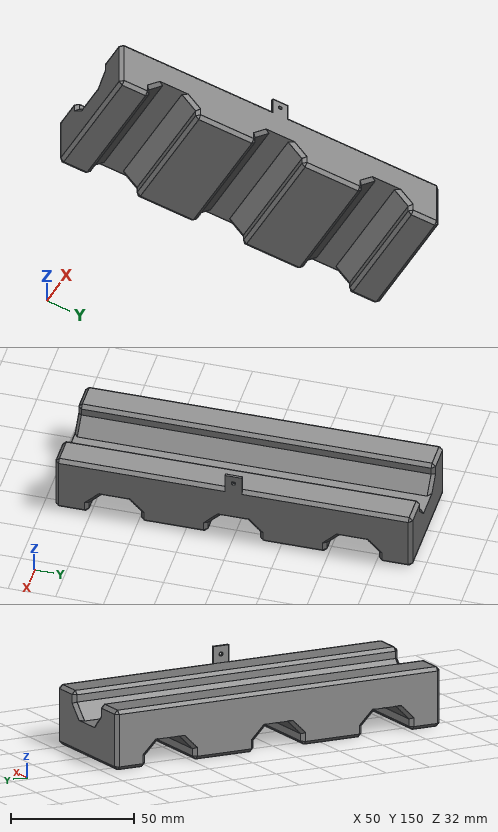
import cadquery as cq
import math

block_length = 150.0
module_count = 3
module = block_length / module_count
block_width = module
block_height = module / 2
edge_chamfer = 1.5

groove_width = 22.0
groove_depth = groove_width / 2
octagon_side_ratio = math.tan(math.pi / 8)

overall_height = 32.0
tab_width = 7.0
tab_thickness = 1.0
tab_hole_diameter = 1.6
tab_rise = overall_height - block_height


def groove_section(widening):
    """Points of the groove section, opening at height zero, moved outward by the widening.

    The floor keeps its depth, so a widened section only gains at walls and flanks.
    """
    half_width = groove_width / 2 + widening
    wall_depth = half_width * octagon_side_ratio
    floor_half_width = half_width + wall_depth - groove_depth
    right_side = [
        (half_width + edge_chamfer, 0),
        (half_width, -edge_chamfer),
        (half_width, -wall_depth),
        (floor_half_width, -groove_depth),
    ]
    left_side = [(-x, z) for x, z in reversed(right_side)]
    return right_side + left_side


def groove_cutter(length):
    """Groove along Y, centred on the origin, with chamfered ends."""
    straight_length = length - 2 * edge_chamfer
    straight = (
        cq.Workplane("XZ")
        .polyline(groove_section(0))
        .close()
        .extrude(straight_length / 2, both=True)
    )
    front_flare = (
        cq.Workplane("XZ")
        .workplane(offset=straight_length / 2)
        .polyline(groove_section(0))
        .close()
        .workplane(offset=edge_chamfer)
        .polyline(groove_section(edge_chamfer))
        .close()
        .loft(ruled=True)
    )
    return straight.union(front_flare).union(front_flare.mirror("XZ"))


def block():
    """Solid block standing on Z = 0 with all edges chamfered."""
    return (
        cq.Workplane("XY")
        .box(block_width, block_length, block_height, centered=(True, True, False))
        .edges()
        .chamfer(edge_chamfer)
    )


def tab():
    """Thin upright tab with a hole, rooted in the chamfer of the top +X edge."""
    outer_x = block_width / 2
    plate = cq.Workplane("XY").box(
        tab_thickness, tab_width, tab_rise + edge_chamfer, centered=(False, True, False)
    ).translate((outer_x - tab_thickness, 0, block_height - edge_chamfer))
    hole = (
        cq.Workplane("YZ", origin=(outer_x - tab_thickness, 0, block_height + tab_rise / 2))
        .circle(tab_hole_diameter / 2)
        .extrude(tab_thickness)
    )
    return plate.cut(hole)


result = block().cut(groove_cutter(block_length).translate((0, 0, block_height)))

cross_groove = (
    groove_cutter(block_width)
    .rotate((0, 0, 0), (0, 1, 0), 180)
    .rotate((0, 0, 0), (0, 0, 1), 90)
)
for index in range(module_count):
    groove_y = (index + 0.5) * module - block_length / 2
    result = result.cut(cross_groove.translate((0, groove_y, 0)))

result = result.union(tab())